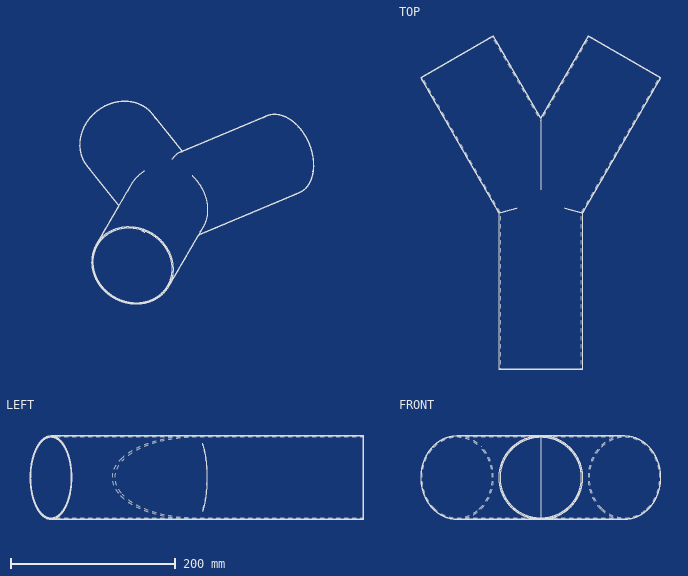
import cadquery as cq
import math

outer_diameter = 101.6
inner_diameter = 98.3
leg_length = 203.2
branch_angle = 30.0

trunk_direction = 270.0
right_direction = 90.0 - branch_angle
left_direction = 90.0 + branch_angle

crotch_mitre = 90.0
left_mitre = (left_direction + trunk_direction) / 2
right_mitre = (right_direction + trunk_direction - 360.0) / 2

sector_reach = 3 * leg_length
sector_height = 2 * outer_diameter


def polar_point(radius, angle):
    """Point in the XY plane at the given radius and angle in degrees."""
    radians = math.radians(angle)
    return (radius * math.cos(radians), radius * math.sin(radians))


def make_tube(direction):
    """Straight tube lying in the XY plane, long enough to reach past its mitre planes."""
    overlap = outer_diameter
    start = polar_point(-overlap, direction)
    axis = polar_point(1.0, direction)
    plane = cq.Plane(origin=(*start, 0), xDir=(0, 0, 1), normal=(*axis, 0))
    return (
        cq.Workplane(plane)
        .circle(outer_diameter / 2)
        .circle(inner_diameter / 2)
        .extrude(leg_length + overlap)
    )


def make_sector(start_angle, middle_angle, end_angle):
    """Wedge between two mitre planes that meet along the Z axis."""
    return (
        cq.Workplane("XY")
        .moveTo(0, 0)
        .lineTo(*polar_point(sector_reach, start_angle))
        .lineTo(*polar_point(sector_reach, middle_angle))
        .lineTo(*polar_point(sector_reach, end_angle))
        .close()
        .extrude(sector_height / 2, both=True)
    )


def make_leg(direction, start_mitre, end_mitre):
    """Tube trimmed to its own side of the two mitre planes."""
    return make_tube(direction).intersect(make_sector(start_mitre, direction, end_mitre))


trunk = make_leg(trunk_direction, left_mitre, right_mitre)
right_branch = make_leg(right_direction, right_mitre, crotch_mitre)
left_branch = make_leg(left_direction, crotch_mitre, left_mitre)

result = trunk.union(right_branch).union(left_branch)